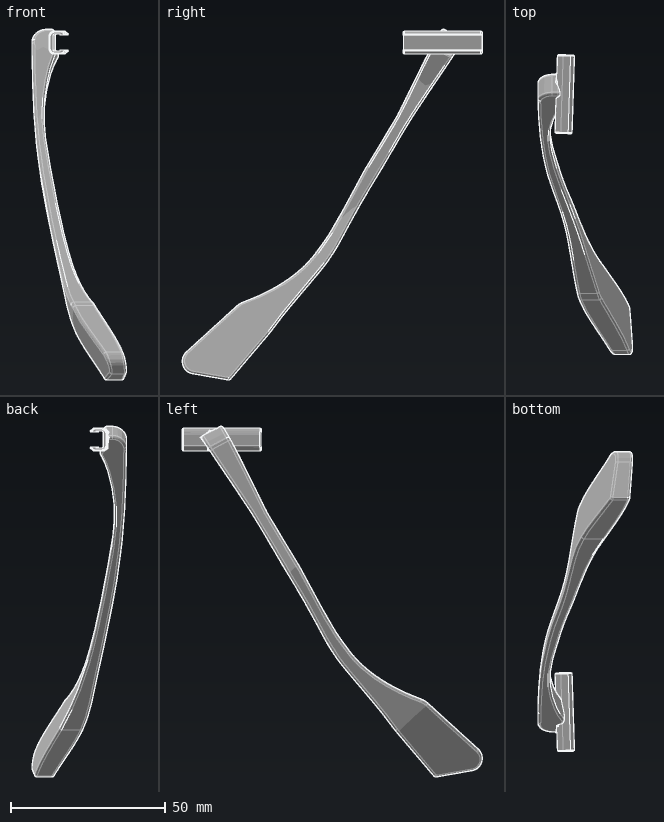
import cadquery as cq
import math


stem_tilt = 28.0
crossing_reach = 200.0
side_prism_width = 40.0
outer_edge_radius = 0.9
inner_edge_radius = 0.7

front_arm = [(-10.4, 4.0), (-19.4, -11.7), (-29.1, -31.0), (-36.5, -43.0), (-49.7, -66.8),
             (-53.2, -71.9), (-58.0, -77.4), (-63.5, -81.8), (-78.7, -89.2)]
paddle_toe = (-102.25, -110.65)
paddle_heel = (-82.0, -114.23)
back_arm = [(-69.0, -98.9), (-54.6, -81.2), (-49.7, -75.0), (-40.7, -59.0),
            (-33.0, -46.2), (-25.4, -33.1), (-13.5, -15.0), (-1.5, 3.5)]
paddle_toe_radius = 4.1
paddle_heel_radius = 1.0
paddle_shoulder_radius = 6.0
paddle_corners = [
    (paddle_toe, paddle_toe_radius),
    (paddle_heel, paddle_heel_radius),
    (front_arm[-1], paddle_shoulder_radius),
]

head_top = (4.5, 6.1)
head_arc_middle = (1.3, 7.6)
outer_side = [(0.0, 11.5), (0.2, 24.0), (0.8, 38.9), (4.1, 68.1), (9.8, 100.2), (13.8, 119.0),
              (22.9, 137.8), (26.8, 146.0)]
inner_side = [(31.2, 146.0), (29.93, 139.1), (20.5, 116.5), (16.1, 104.5), (11.1, 85.0), (5.7, 55.1),
              (3.9, 37.0), (5.1, 24.4), (7.0, 16.9), (8.6, 13.0)]
head_shoulder = (7.0, 6.1)
arc_end_direction = (0, -1)
tip_direction = (0.46, -0.89)

clip_length = 25.6
clip_back_x = 6.3
clip_hook_x = 9.9
clip_slope_x = 10.6
clip_tip_x = 11.9
clip_top_z = -0.85
clip_height = 7.55
clip_web = 1.3
clip_leg = 1.05
clip_barb_step = 0.35
clip_back_radius = 1.9
clip_inner_radius = 0.5
clip_end_chamfer = 0.4
clip_yaw = -1.8
clip_axis_z = clip_top_z - clip_height / 2

foot_outline = [(-14.0, -1.4), (-18.0, -8.0), (-8.3, -8.0), (-5.3, -3.8), (-8.8, -1.4)]
foot_height = 1.4
foot_taper = 35.0
foot_overlap = 0.4


facing_limit = 0.5
along_limit = 0.9


def long_edges(stem, side):
    """Edges around the faces on one side of the stem: -1 outer, +1 inner; edges along X excluded."""
    faces = [face for face in stem.faces().vals() if side * face.normalAt().x > facing_limit]
    edges = [edge for face in faces for edge in face.Edges()]
    return [edge for edge in edges if abs(edge.tangentAt(0.5).x) < along_limit]


def make_stem():
    side = (
        cq.Workplane("YZ")
        .moveTo(*front_arm[0])
        .spline(front_arm[1:], includeCurrent=True)
        .lineTo(*paddle_toe)
        .lineTo(*paddle_heel)
        .lineTo(*back_arm[0])
        .spline(back_arm[1:], includeCurrent=True)
        .close()
        .extrude(side_prism_width)
    )
    for corner, radius in paddle_corners:
        side = side.edges(cq.NearestToPointSelector((side_prism_width / 2, *corner))).fillet(radius)
    tilt = math.radians(stem_tilt)
    bend_plane = cq.Plane(
        origin=(0, 0, 0), xDir=(1, 0, 0), normal=(0, -math.cos(tilt), math.sin(tilt))
    )

    def down(points):
        return [(x, -distance) for x, distance in points]

    bend = (
        cq.Workplane(bend_plane)
        .polyline(down([head_shoulder, head_top]))
        .threePointArc(*down([head_arc_middle, outer_side[0]]))
        .spline(down(outer_side[1:]), tangents=[arc_end_direction, tip_direction], includeCurrent=True)
        .lineTo(*down(inner_side)[0])
        .spline(down(inner_side[1:]), includeCurrent=True)
        .close()
        .extrude(crossing_reach, both=True)
    )
    stem = side.intersect(bend)
    stem = stem.newObject(long_edges(stem, -1)).fillet(outer_edge_radius)
    return stem.newObject(long_edges(stem, 1)).fillet(inner_edge_radius)


def mirrored_prism(upper_half):
    """Prism along the clip from the upper half of a section that is symmetric about the clip's axis."""
    return (
        cq.Workplane("XZ", origin=(0, 0, clip_axis_z))
        .polyline(upper_half)
        .mirrorX()
        .extrude(clip_length)
    )


def clip_block():
    """Outside of the clip: rounded back, straight legs, then tips sloping inward."""
    half = clip_height / 2
    tip_half = half - clip_leg
    block = mirrored_prism([
        (clip_back_x, 0),
        (clip_back_x, half),
        (clip_slope_x, half),
        (clip_tip_x, tip_half),
        (clip_tip_x, 0),
    ])
    block = block.edges("|Y and <X").fillet(clip_back_radius)
    return block.faces("|Y").chamfer(clip_end_chamfer)


def clip_channel():
    """Hollow of the clip, narrowed at the mouth by the barbs."""
    half = clip_height / 2 - clip_leg
    hook_half = half - clip_barb_step
    hook_end_x = clip_tip_x - clip_barb_step
    web_x = clip_back_x + clip_web
    hollow = mirrored_prism([
        (web_x, 0),
        (web_x, half),
        (clip_hook_x, half),
        (clip_hook_x, hook_half),
        (hook_end_x, hook_half),
        (clip_tip_x, half),
        (clip_tip_x, 0),
    ])
    return hollow.edges("|Y and <X").fillet(clip_inner_radius)


def make_foot():
    base_x = clip_back_x + foot_overlap
    return (
        cq.Workplane("YZ", origin=(base_x, 0, 0))
        .polyline(foot_outline)
        .close()
        .extrude(-foot_height - foot_overlap, taper=foot_taper)
    )


def turned(body):
    return body.rotate((clip_back_x, 0, 0), (clip_back_x, 0, 1), clip_yaw)


result = (
    make_stem()
    .union(make_foot())
    .union(turned(clip_block()))
    .cut(turned(clip_channel()))
)